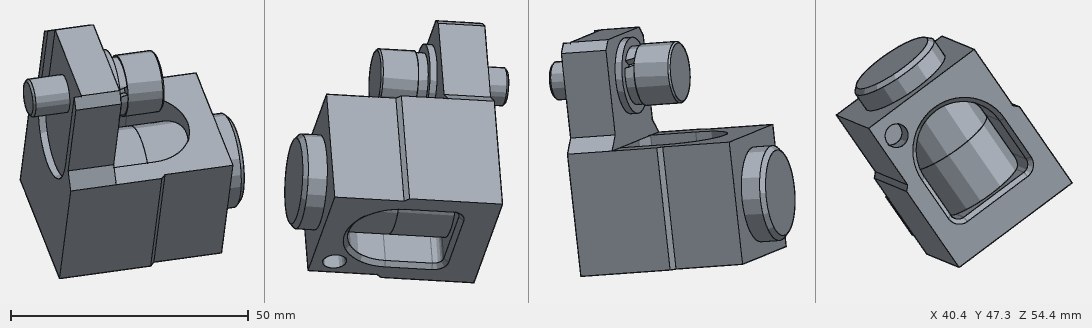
import cadquery as cq

LEAN_ANGLE = 18.3

BLOCK_WIDTH = 30.0
BLOCK_HEIGHT = 26.0
BLOCK_DEPTH = 35.9
WIDE_DEPTH = 20.0
SIDE_STEP = 1.0

PLATE_DEPTH = 10.0
PLATE_WIDTH = 24.0
PLATE_TOP = 49.0
PLATE_CORNER_CHAMFER = 2.0
SHOULDER_SIZE = (BLOCK_WIDTH - PLATE_WIDTH) / 2

RECESS_WIDTH = 20.1
RECESS_CENTER_HEIGHT = 29.0
RECESS_DEPTH = 1.6

SLOT_WIDTH = 19.95
SLOT_FRONT = 7.9
SLOT_CORNER_RADIUS = 2.0
SLOT_MOUTH_CHAMFER = 1.0

SMALL_HOLE_DIAMETER = 5.0
SMALL_HOLE_DEPTH = 5.0
SMALL_HOLE_OFFSET = 10.0
SMALL_HOLE_BACK = 31.0

PIN_DIAMETER = 20.0
PIN_HEIGHT = BLOCK_HEIGHT / 2
PIN_PROJECTION = 5.05
PIN_CHAMFER = 1.0

SCREW_HEIGHT = 39.95
SCREW_DIAMETER = 8.05
SCREW_LENGTH = 20.0
SCREW_TIP_CHAMFER = 0.5
HEAD_DIAMETER = 13.0
HEAD_HEIGHT = 8.0
HEAD_CHAMFER = 0.4
WASHER_DIAMETER = 16.05
WASHER_THICKNESS = 1.5
SPRING_WASHER_DIAMETER = 12.35
SPRING_WASHER_THICKNESS = 2.1
SPLIT_WIDTH = 1.65
SPLIT_SLANT = 15
SPLIT_DIRECTION = 32

WASHER_BACK = PLATE_DEPTH + WASHER_THICKNESS
HEAD_FRONT = WASHER_BACK + SPRING_WASHER_THICKNESS


def cylinder_along_y(diameter, height, y_start, y_end):
    """A cylinder on the part's center plane, its axis along Y at the given height."""
    return (
        cq.Workplane("XZ", origin=(0, y_start, height))
        .circle(diameter / 2)
        .extrude(y_start - y_end)
    )


def lean(body):
    """Turn an upright body into its final leaning position."""
    return body.rotate((0, 0, 0), (0, 1, 0), LEAN_ANGLE)


def make_block():
    """Lower block, narrowed on both sides behind its wide front part."""
    half = BLOCK_WIDTH / 2
    right_side = [
        (half, 0),
        (half, WIDE_DEPTH),
        (half - SIDE_STEP, WIDE_DEPTH + SIDE_STEP),
        (half - SIDE_STEP, BLOCK_DEPTH),
    ]
    left_side = [(-x, y) for x, y in reversed(right_side)]
    return cq.Workplane("XY").polyline(right_side + left_side).close().extrude(BLOCK_HEIGHT)


def make_plate():
    """Upright plate with sloping shoulders and chamfered top corners."""
    half = PLATE_WIDTH / 2
    right_side = [
        (BLOCK_WIDTH / 2, 0),
        (BLOCK_WIDTH / 2, BLOCK_HEIGHT),
        (half, BLOCK_HEIGHT + SHOULDER_SIZE),
        (half, PLATE_TOP - PLATE_CORNER_CHAMFER),
        (half - PLATE_CORNER_CHAMFER, PLATE_TOP),
    ]
    left_side = [(-x, z) for x, z in reversed(right_side)]
    return cq.Workplane("XZ").polyline(right_side + left_side).close().extrude(-PLATE_DEPTH)


def make_front_recess():
    """Round-bottomed recess, open at the top of the plate."""
    half = RECESS_WIDTH / 2
    return (
        cq.Workplane("XZ")
        .moveTo(half, PLATE_TOP)
        .lineTo(half, RECESS_CENTER_HEIGHT)
        .threePointArc((0, RECESS_CENTER_HEIGHT - half), (-half, RECESS_CENTER_HEIGHT))
        .lineTo(-half, PLATE_TOP)
        .close()
        .extrude(-RECESS_DEPTH)
    )


def extrude_slot_outline(margin, height, taper=0):
    """Slot outline grown by a margin: round at the back, rounded corners at the front."""
    half = SLOT_WIDTH / 2 + margin
    front = SLOT_FRONT - margin
    radius = SLOT_CORNER_RADIUS + margin
    return (
        cq.Workplane("XY")
        .moveTo(half, front + radius)
        .lineTo(half, WIDE_DEPTH)
        .threePointArc((0, WIDE_DEPTH + half), (-half, WIDE_DEPTH))
        .lineTo(-half, front + radius)
        .radiusArc((-half + radius, front), -radius)
        .lineTo(half - radius, front)
        .radiusArc((half, front + radius), -radius)
        .close()
        .extrude(height, taper=taper)
    )


def make_small_hole():
    """Blind hole beside the back of the slot mouth."""
    return (
        cq.Workplane("XY")
        .center(SMALL_HOLE_OFFSET, SMALL_HOLE_BACK)
        .circle(SMALL_HOLE_DIAMETER / 2)
        .extrude(SMALL_HOLE_DEPTH)
    )


def make_housing():
    """Block and plate in one piece, with the recess, slot, pin stub and holes."""
    stub = cylinder_along_y(PIN_DIAMETER, PIN_HEIGHT, SLOT_FRONT, WIDE_DEPTH)
    slot = extrude_slot_outline(0, BLOCK_HEIGHT).cut(stub)
    slot_mouth = extrude_slot_outline(SLOT_MOUTH_CHAMFER, SLOT_MOUTH_CHAMFER, taper=45)
    pin_bore = cylinder_along_y(PIN_DIAMETER, PIN_HEIGHT, WIDE_DEPTH, BLOCK_DEPTH)
    screw_hole = cylinder_along_y(SCREW_DIAMETER, SCREW_HEIGHT, 0, PLATE_DEPTH)
    return (
        make_block()
        .union(make_plate())
        .cut(make_front_recess())
        .cut(slot)
        .cut(slot_mouth)
        .cut(pin_bore)
        .cut(make_small_hole())
        .cut(screw_hole)
    )


def make_pin():
    """Plain pin butting on the stub in the slot, chamfered at its free back end."""
    pin_end = BLOCK_DEPTH + PIN_PROJECTION
    pin = cylinder_along_y(PIN_DIAMETER, PIN_HEIGHT, WIDE_DEPTH, pin_end)
    return pin.faces(">Y").chamfer(PIN_CHAMFER)


def make_screw():
    """Cap screw entering the plate from behind, its tip standing out at the front."""
    head = cylinder_along_y(HEAD_DIAMETER, SCREW_HEIGHT, HEAD_FRONT, HEAD_FRONT + HEAD_HEIGHT)
    shank = cylinder_along_y(SCREW_DIAMETER, SCREW_HEIGHT, HEAD_FRONT - SCREW_LENGTH, HEAD_FRONT)
    head = head.faces(">Y").chamfer(HEAD_CHAMFER)
    shank = shank.faces("<Y").chamfer(SCREW_TIP_CHAMFER)
    return head.union(shank)


def make_ring(diameter, y_start, y_end):
    """A ring that fits closely around the screw shank."""
    hole = cylinder_along_y(SCREW_DIAMETER, SCREW_HEIGHT, y_start, y_end)
    return cylinder_along_y(diameter, SCREW_HEIGHT, y_start, y_end).cut(hole)


def make_washer():
    """Flat washer against the back of the plate."""
    return make_ring(WASHER_DIAMETER, PLATE_DEPTH, WASHER_BACK)


def make_spring_washer():
    """Ring cut through on one side by a slanted split."""
    middle = (WASHER_BACK + HEAD_FRONT) / 2
    split_depth = 2 * SPRING_WASHER_THICKNESS
    split = (
        cq.Workplane("XY")
        .box(SPRING_WASHER_DIAMETER, split_depth, SPLIT_WIDTH, centered=(False, True, True))
        .rotate((0, 0, 0), (1, 0, 0), SPLIT_SLANT)
        .rotate((0, 0, 0), (0, 1, 0), -SPLIT_DIRECTION)
        .translate((0, middle, SCREW_HEIGHT))
    )
    return make_ring(SPRING_WASHER_DIAMETER, WASHER_BACK, HEAD_FRONT).cut(split)


housing = lean(make_housing())
pin = lean(make_pin())
screw = lean(make_screw())
washer = lean(make_washer())
spring_washer = lean(make_spring_washer())

result = cq.Compound.makeCompound(
    [housing.val(), pin.val(), screw.val(), washer.val(), spring_washer.val()]
)